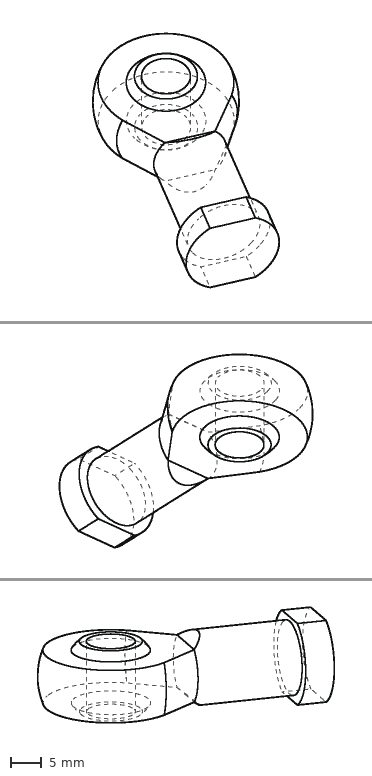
import cadquery as cq
import math

length = 48.0
head_radius = 12.0
head_face_radius = 11.15
head_half_thickness = 4.5
head_center_x = head_radius

ball_radius = 7.9
ball_half_height = 6.0
bore_diameter = 8.0

neck_start_angle = 60
neck_start_x = head_center_x + head_radius * math.cos(math.radians(neck_start_angle))
shank_start_x = 24.95
shank_radius = 6.25
shoulder_length = 2.15
collar_length = 5.0
collar_radius = 8.0
collar_flat_width = 14.0


def make_head():
    """Disc with a barrel-shaped rim and flat faces, ending at the start of the neck."""
    profile = (
        cq.Workplane("XZ")
        .moveTo(0, -head_half_thickness)
        .lineTo(head_face_radius, -head_half_thickness)
        .threePointArc((head_radius, 0), (head_face_radius, head_half_thickness))
        .lineTo(0, head_half_thickness)
        .close()
    )
    head = profile.revolve(360, (0, 0, 0), (0, 1, 0))
    head_side = cq.Workplane("XY").box(
        neck_start_x, 2 * head_radius, 2 * head_half_thickness, centered=(False, True, True)
    )
    return head.translate((head_center_x, 0, 0)).intersect(head_side)


def neck_section(x, face_half_width, middle_half_width):
    """Flat-topped cross-section with bowed sides, normal to X."""
    return (
        cq.Workplane("YZ", origin=(x, 0, 0))
        .moveTo(-face_half_width, -head_half_thickness)
        .lineTo(face_half_width, -head_half_thickness)
        .threePointArc((middle_half_width, 0), (face_half_width, head_half_thickness))
        .lineTo(-face_half_width, head_half_thickness)
        .threePointArc((-middle_half_width, 0), (-face_half_width, -head_half_thickness))
        .close()
        .wire()
        .val()
    )


def make_neck():
    """Ruled transition from the head rim to the round shank."""
    offset = neck_start_x - head_center_x
    head_section = neck_section(
        neck_start_x,
        math.sqrt(head_face_radius**2 - offset**2),
        math.sqrt(head_radius**2 - offset**2),
    )
    shank_section = neck_section(
        shank_start_x,
        math.sqrt(shank_radius**2 - head_half_thickness**2),
        shank_radius,
    )
    return cq.Workplane(cq.Solid.makeLoft([head_section, shank_section], True))


def make_shank():
    """Round shank whose head end is sloped down to the flat head faces."""
    shank = (
        cq.Workplane("YZ", origin=(shank_start_x, 0, 0))
        .circle(shank_radius)
        .extrude(length - shank_start_x)
    )
    shoulder_end_x = shank_start_x + shoulder_length
    side_outline = (
        cq.Workplane("XZ")
        .moveTo(shank_start_x, -head_half_thickness)
        .lineTo(shoulder_end_x, -shank_radius)
        .lineTo(length, -shank_radius)
        .lineTo(length, shank_radius)
        .lineTo(shoulder_end_x, shank_radius)
        .lineTo(shank_start_x, head_half_thickness)
        .close()
        .extrude(shank_radius, both=True)
    )
    return shank.intersect(side_outline)


def make_collar():
    """Round end collar with two wrench flats facing up and down."""
    collar = (
        cq.Workplane("YZ", origin=(length - collar_length, 0, 0))
        .circle(collar_radius)
        .extrude(collar_length)
    )
    flats = cq.Workplane("XY").box(2 * length, 2 * collar_radius, collar_flat_width)
    return collar.intersect(flats)


def make_ball():
    """Sphere truncated above and below the head."""
    slab = cq.Workplane("XY").box(2 * ball_radius, 2 * ball_radius, 2 * ball_half_height)
    ball = cq.Workplane("XY").sphere(ball_radius).intersect(slab)
    return ball.translate((head_center_x, 0, 0))


bore = (
    cq.Workplane("XY", origin=(head_center_x, 0, 0))
    .circle(bore_diameter / 2)
    .extrude(ball_half_height, both=True)
)

body = make_head().union(make_neck()).union(make_shank()).union(make_collar())
result = body.union(make_ball()).cut(bore)